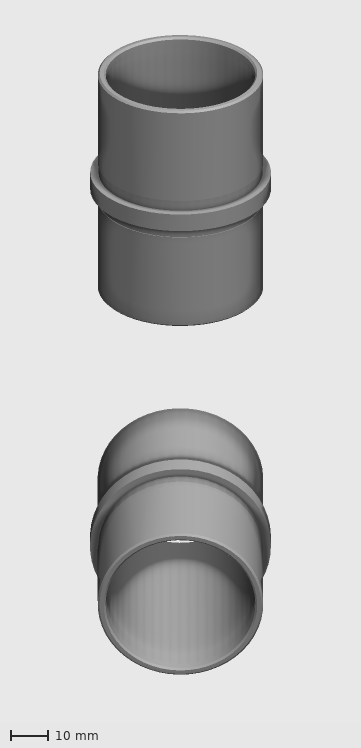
import cadquery as cq

LENGTH = 65.0
FLANGE_DIAMETER = 48.3
FLANGE_WIDTH = 5.0
TUBE_DIAMETER = 44.2
BORE_DIAMETER = 40.0
GROOVE_WIDTH = 3.0
GROOVE_DEPTH = 0.2
EDGE_CHAMFER = 0.5


def centred_ring(outer_diameter, inner_diameter, width):
    """Ring around the Z axis, with its width centred on the XY plane."""
    base = cq.Workplane("XY").workplane(offset=-width / 2)
    return base.circle(outer_diameter / 2).circle(inner_diameter / 2).extrude(width)


tube = centred_ring(TUBE_DIAMETER, BORE_DIAMETER, LENGTH)
tube = tube.faces("<Z or >Z").edges().chamfer(EDGE_CHAMFER)

relief_length = FLANGE_WIDTH + 2 * GROOVE_WIDTH
groove_diameter = TUBE_DIAMETER - 2 * GROOVE_DEPTH
relief = centred_ring(TUBE_DIAMETER, groove_diameter, relief_length)

flange = centred_ring(FLANGE_DIAMETER, BORE_DIAMETER, FLANGE_WIDTH)

result = tube.cut(relief).union(flange)